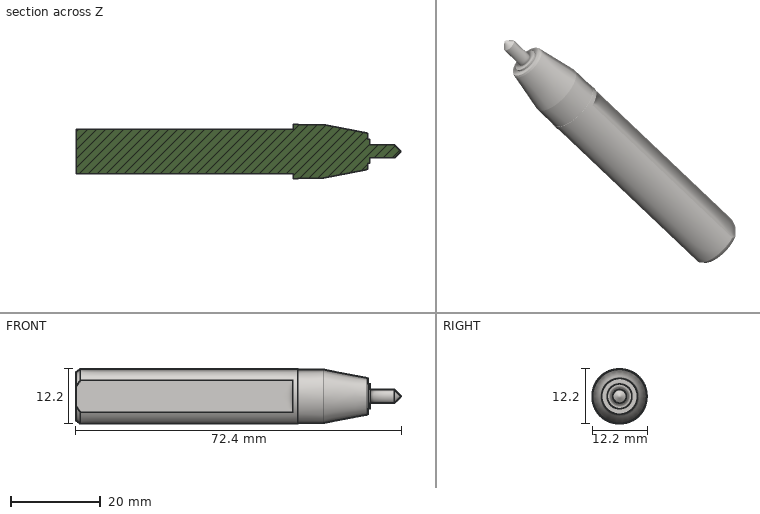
import cadquery as cq

total_length = 72.4
rear_chamfer_length = 1.0
flat_length = 48.3
shank_length = 49.35
collar_end = 55.0
cone_end = 64.55
nose_end = 65.0
boss_end = 65.4

shank_diameter = 12.2
collar_diameter = 12.0
cone_end_diameter = 8.3
nose_diameter = 7.95
boss_diameter = 5.5
pin_diameter = 3.05

rear_chamfer_depth = 0.7
flat_width = 10.0

point_start = total_length - pin_diameter / 2


def turned_body():
    """Revolve the half profile about the X axis."""
    shank_radius = shank_diameter / 2
    return (
        cq.Workplane("XY")
        .moveTo(0, 0)
        .lineTo(0, shank_radius - rear_chamfer_depth)
        .lineTo(rear_chamfer_length, shank_radius)
        .lineTo(shank_length, shank_radius)
        .lineTo(shank_length, collar_diameter / 2)
        .lineTo(collar_end, collar_diameter / 2)
        .lineTo(cone_end, cone_end_diameter / 2)
        .lineTo(nose_end, nose_diameter / 2)
        .lineTo(nose_end, boss_diameter / 2)
        .lineTo(boss_end, boss_diameter / 2)
        .lineTo(boss_end, pin_diameter / 2)
        .lineTo(point_start, pin_diameter / 2)
        .lineTo(total_length, 0)
        .close()
        .revolve(360, (0, 0, 0), (1, 0, 0))
    )


def flat_cutter(side):
    """Block outside one flat; side is +1 or -1 along Y."""
    block_size = shank_diameter
    center_y = side * (flat_width + block_size) / 2
    return (
        cq.Workplane("XY")
        .box(flat_length, block_size, block_size)
        .translate((flat_length / 2, center_y, 0))
    )


result = turned_body()
for side in (-1, 1):
    result = result.cut(flat_cutter(side))